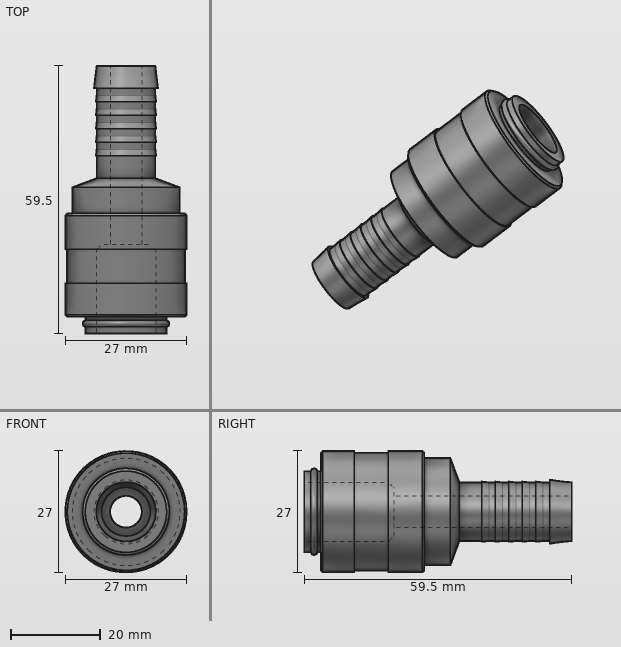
import cadquery as cq

LENGTH = 59.5

NOSE_RADIUS = 9.05
BEAD_RADIUS = 9.65
BEAD_CENTER = 2.2
BEAD_HALF_WIDTH = 0.7

COLLAR_RADIUS = 13.5
COLLAR_START = 3.7
COLLAR_END = 26.7
COLLAR_CHAMFER = 0.5
WAIST_RADIUS = 13.15
WAIST_START = 11.1
WAIST_END = 18.7

SHOULDER_RADIUS = 11.95
SHOULDER_END = 32.5
SHOULDER_CONE_END = 34.5

STEM_RADIUS = 6.55
RIDGE_RADIUS = 6.7
RIDGE_COUNT = 5
RIDGE_PITCH = 3.005
RIDGE_LENGTH = RIDGE_PITCH / 2
FIRST_RIDGE = 39.5
BARB_RADIUS = 7.15
BARB_START = 54.55

SOCKET_RADIUS = 6.6
SOCKET_DEPTH = 18.7
SEAT_RADIUS = 5.4
SEAT_LENGTH = SOCKET_RADIUS - SEAT_RADIUS
PASSAGE_RADIUS = 3.5


def revolve_about_y(profile):
    return profile.close().revolve(360, (0, 0, 0), (0, 1, 0))


def make_body():
    """Revolve the outer outline, from the nose to the hose end."""
    chamfer_radius = COLLAR_RADIUS - COLLAR_CHAMFER
    profile = (
        cq.Workplane("XY")
        .lineTo(NOSE_RADIUS, 0)
        .lineTo(NOSE_RADIUS, BEAD_CENTER - BEAD_HALF_WIDTH)
        .threePointArc(
            (BEAD_RADIUS, BEAD_CENTER),
            (NOSE_RADIUS, BEAD_CENTER + BEAD_HALF_WIDTH),
        )
        .lineTo(NOSE_RADIUS, COLLAR_START)
        .lineTo(chamfer_radius, COLLAR_START)
        .lineTo(COLLAR_RADIUS, COLLAR_START + COLLAR_CHAMFER)
        .lineTo(COLLAR_RADIUS, WAIST_START)
        .lineTo(WAIST_RADIUS, WAIST_START)
        .lineTo(WAIST_RADIUS, WAIST_END)
        .lineTo(COLLAR_RADIUS, WAIST_END)
        .lineTo(COLLAR_RADIUS, COLLAR_END - COLLAR_CHAMFER)
        .lineTo(chamfer_radius, COLLAR_END)
        .lineTo(SHOULDER_RADIUS, COLLAR_END)
        .lineTo(SHOULDER_RADIUS, SHOULDER_END)
        .lineTo(STEM_RADIUS, SHOULDER_CONE_END)
    )
    for index in range(RIDGE_COUNT):
        ridge_start = FIRST_RIDGE + index * RIDGE_PITCH
        profile = (
            profile.lineTo(STEM_RADIUS, ridge_start)
            .lineTo(RIDGE_RADIUS, ridge_start)
            .lineTo(STEM_RADIUS, ridge_start + RIDGE_LENGTH)
        )
    profile = (
        profile.lineTo(STEM_RADIUS, BARB_START)
        .lineTo(BARB_RADIUS, BARB_START)
        .lineTo(STEM_RADIUS, LENGTH)
        .lineTo(0, LENGTH)
    )
    return revolve_about_y(profile)


def make_bore():
    """Socket, conical seat with a flat floor, and the passage to the hose end."""
    seat_end = SOCKET_DEPTH + SEAT_LENGTH
    profile = (
        cq.Workplane("XY")
        .lineTo(SOCKET_RADIUS, 0)
        .lineTo(SOCKET_RADIUS, SOCKET_DEPTH)
        .lineTo(SEAT_RADIUS, seat_end)
        .lineTo(PASSAGE_RADIUS, seat_end)
        .lineTo(PASSAGE_RADIUS, LENGTH)
        .lineTo(0, LENGTH)
    )
    return revolve_about_y(profile)


result = make_body().cut(make_bore())